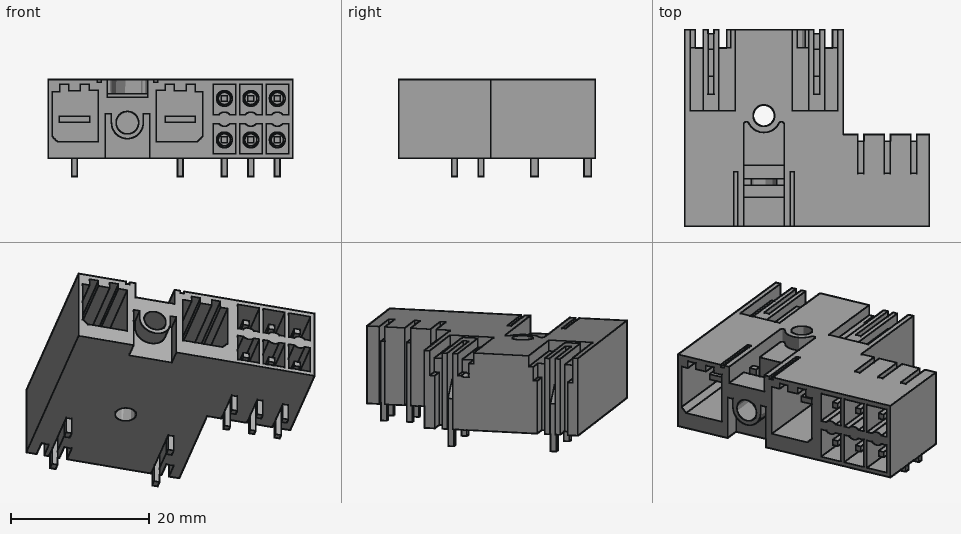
import cadquery as cq
import math

TOTAL_WIDTH = 35.25
MAIN_WIDTH = 22.85
MAIN_DEPTH = 28.3
WING_DEPTH = 13.22
HOUSING_HEIGHT = 11.4
LEG_BOTTOM_Z = -2.6
CENTER_X = MAIN_WIDTH / 2

SIGNAL_PITCH = 3.8
SIGNAL_COUNT = 3
POWER_PITCH = 4 * SIGNAL_PITCH
WIRE = 0.85
LEFT_POWER_X = CENTER_X - POWER_PITCH / 2
RIGHT_POWER_X = CENTER_X + POWER_PITCH / 2
FIRST_SIGNAL_X = 25.4
SIGNAL_X = [FIRST_SIGNAL_X + i * SIGNAL_PITCH for i in range(SIGNAL_COUNT)]

CAVITY_OUTER = 3.2
CAVITY_INNER = 3.45
CAVITY_DEPTH = 14.8
CAVITY_FLOOR_Z = 2.4
CAVITY_OUTER_TOP_Z = 9.6
CAVITY_MIDDLE_TOP_Z = 9.73
CAVITY_INNER_TOP_Z = 9.85
CAVITY_CHAMFER = 0.78
KEYWAY_NEAR = 0.85
KEYWAY_FAR = 2.15
KEYWAY_TOP_Z = 10.7

RECESS_FRONT_Y = 16.6
RECESS_FLOOR_Z = 9.8
RECESS_OUTER = 3.0
RECESS_INNER = 3.53
RIB_WIDTH = 2.3
RIB_HALF_WIDTH = RIB_WIDTH / 2
RIB_DROP = 0.25
NOTCH_FRONT_Y = 25.67
NOTCH_LEDGE_Z = 7.75
NOTCH_INNER = 2.82
NOTCH_THROUGH = 2.25
STEP_NEAR = 1.7
STEP_WIDTH = 0.55
STEP_RADIUS = 0.88

BLADE_TIP_Y = 6.35
BLADE_WIDTH = 4.37
BLADE_Z = 5.65
PLATE_FRONT_Y = 19.0
PLATE_STEP_Y = 21.58
PLATE_BEVEL_Y = 25.45
PLATE_BACK_Y = 27.75
PLATE_TOP_Z = 6.7
PLATE_BOTTOM_Z = 2.82
POWER_LEG_DEPTH = 1.1

CELL_WIDTH = 3.25
CELL_HEIGHT = 4.35
CELL_DEPTH = 6.35
ROW_PITCH = 5.95
LOWER_ROW_Z = 2.68
UPPER_ROW_Z = LOWER_ROW_Z + ROW_PITCH
CELL_OFFSET_Z = 0.15
BUMP_HALF_WIDTH = 0.78
BUMP_HEIGHT = 0.35
COLLAR_RADIUS = 1.13
COLLAR_TIP_RADIUS = 0.88
COLLAR_LENGTH = 1.75
SIGNAL_TIP_Y = 1.3
LOWER_LEG_Y = 8.05
UPPER_LEG_Y = LOWER_LEG_Y + SIGNAL_PITCH
SIGNAL_SLOT_Y = LOWER_LEG_Y - WIRE / 2

POCKET_WIDTH = 5.82
POCKET_TIP_RADIUS = 0.4
POCKET_FRONT_Z = 8.8
POCKET_BACK_Z = 9.35
SHAFT_Y = 15.95
SHAFT_RADIUS = 1.5
BOSS_RADIUS = 2.45
NUT_FRONT_Y = 4.2
NUT_BACK_Y = 8.78
NUT_FLOOR_Z = 2.82
YOKE_FRONT_Y = 5.92
YOKE_BACK_Y = 6.88
YOKE_SLOT_WIDTH = 3.65
SCREW_Z = 5.15
SCREW_RADIUS = 1.62
SLEEVE_RADIUS = 2.3
SLEEVE_RECESS_WIDTH = 6.38
SLEEVE_RECESS_TOP_Z = 6.45
SLEEVE_LENGTH = 2.47
GROOVE_NEAR = 3.77
GROOVE_FAR = 4.35
GROOVE_LENGTH = 7.85
GROOVE_DEPTH = 0.4


def block(x0, x1, y0, y1, z0, z1):
    """Box between two opposite corners."""
    return cq.Workplane("XY").box(x1 - x0, y1 - y0, z1 - z0, centered=False).translate((x0, y0, z0))


def centered_block(x, width, y0, y1, z0, z1):
    """Box that is symmetric about a given X."""
    return block(x - width / 2, x + width / 2, y0, y1, z0, z1)


def rod(x, z, radius, y0, y1):
    """Cylinder along Y."""
    return cq.Workplane("XZ", origin=(x, y0, z)).circle(radius).extrude(y0 - y1)


def for_both_contacts(cutter):
    """Place a cutter made for the left contact at x = 0, and its mirror image for the right contact."""
    left = cutter.translate((LEFT_POWER_X, 0, 0))
    right = cutter.mirror("YZ").translate((RIGHT_POWER_X, 0, 0))
    return left.add(right).combine()


def power_cavity():
    """Plug cavity with a stepped, keyed ceiling and one chamfered bottom edge."""
    outline = [
        (CAVITY_INNER, CAVITY_FLOOR_Z),
        (CAVITY_INNER, CAVITY_INNER_TOP_Z),
        (KEYWAY_FAR, CAVITY_INNER_TOP_Z),
        (KEYWAY_FAR, KEYWAY_TOP_Z),
        (KEYWAY_NEAR, KEYWAY_TOP_Z),
        (KEYWAY_NEAR, CAVITY_MIDDLE_TOP_Z),
        (-KEYWAY_NEAR, CAVITY_MIDDLE_TOP_Z),
        (-KEYWAY_NEAR, KEYWAY_TOP_Z),
        (-KEYWAY_FAR, KEYWAY_TOP_Z),
        (-KEYWAY_FAR, CAVITY_OUTER_TOP_Z),
        (-CAVITY_OUTER, CAVITY_OUTER_TOP_Z),
        (-CAVITY_OUTER, CAVITY_FLOOR_Z + CAVITY_CHAMFER),
        (-CAVITY_OUTER + CAVITY_CHAMFER, CAVITY_FLOOR_Z),
    ]
    return cq.Workplane("XZ").polyline(outline).close().extrude(-CAVITY_DEPTH)


def contact_openings():
    """Slit for the blade behind the cavity, and the tall slot for the plate and legs."""
    slit = centered_block(
        0, BLADE_WIDTH, CAVITY_DEPTH, PLATE_FRONT_Y, BLADE_Z - WIRE / 2, BLADE_Z + WIRE / 2
    )
    slot = centered_block(0, WIRE, PLATE_FRONT_Y, MAIN_DEPTH, 0, HOUSING_HEIGHT)
    return slit.union(slot)


def rear_recess():
    """Two lanes beside the rib, each with a deeper notch at the back edge."""
    outer_lane = block(
        -RECESS_OUTER, -RIB_HALF_WIDTH, RECESS_FRONT_Y, MAIN_DEPTH, RECESS_FLOOR_Z, HOUSING_HEIGHT
    )
    inner_lane = block(
        RIB_HALF_WIDTH, RECESS_INNER, RECESS_FRONT_Y, MAIN_DEPTH, RECESS_FLOOR_Z, HOUSING_HEIGHT
    )
    outer_notch = block(
        -RECESS_OUTER, -RIB_HALF_WIDTH, NOTCH_FRONT_Y, MAIN_DEPTH, NOTCH_LEDGE_Z, RECESS_FLOOR_Z
    )
    inner_notch = block(
        RIB_HALF_WIDTH, NOTCH_INNER, NOTCH_FRONT_Y, MAIN_DEPTH, NOTCH_LEDGE_Z, RECESS_FLOOR_Z
    )
    outer_through = block(
        -NOTCH_THROUGH, -RIB_HALF_WIDTH, NOTCH_FRONT_Y, MAIN_DEPTH, 0, NOTCH_LEDGE_Z
    )
    rib_top = centered_block(
        0, RIB_WIDTH, RECESS_FRONT_Y, MAIN_DEPTH, HOUSING_HEIGHT - RIB_DROP, HOUSING_HEIGHT
    )
    lanes = outer_lane.union(inner_lane).union(rib_top)
    return lanes.union(outer_notch).union(inner_notch).union(outer_through)


def left_inner_through_notch():
    """The inner notch is open to the bottom at the left contact only."""
    return block(
        LEFT_POWER_X + RIB_HALF_WIDTH,
        LEFT_POWER_X + NOTCH_THROUGH,
        NOTCH_FRONT_Y,
        MAIN_DEPTH,
        0,
        NOTCH_LEDGE_Z,
    )


def right_inner_step():
    """Raised strip beside the right rib that runs down to the notch ledge in a shallow concave round."""
    rib_x = RIGHT_POWER_X - RIB_HALF_WIDTH
    crest_x = RIGHT_POWER_X - STEP_NEAR
    foot_x = crest_x - STEP_WIDTH
    crest_z = NOTCH_LEDGE_Z + STEP_RADIUS - math.sqrt(STEP_RADIUS**2 - STEP_WIDTH**2)
    strip = block(foot_x, rib_x, NOTCH_FRONT_Y, MAIN_DEPTH, NOTCH_LEDGE_Z, crest_z)
    return strip.cut(
        rod(foot_x, NOTCH_LEDGE_Z + STEP_RADIUS, STEP_RADIUS, NOTCH_FRONT_Y, MAIN_DEPTH)
    )


def signal_cell(x, row_z, inward):
    """Plug cell with a rounded rib on its middle wall and a tapered collar round the pin.

    `inward` is +1 where the middle wall is above the cell and -1 where it is below.
    """
    center_z = row_z + inward * CELL_OFFSET_Z
    wall_z = center_z + inward * CELL_HEIGHT / 2
    cell = centered_block(
        x, CELL_WIDTH, 0, CELL_DEPTH, center_z - CELL_HEIGHT / 2, center_z + CELL_HEIGHT / 2
    )
    rib = (
        cq.Workplane("XZ")
        .moveTo(x - BUMP_HALF_WIDTH, wall_z)
        .threePointArc((x, wall_z - inward * BUMP_HEIGHT), (x + BUMP_HALF_WIDTH, wall_z))
        .close()
        .extrude(-CELL_DEPTH)
    )
    collar = (
        rod(x, row_z, COLLAR_RADIUS, CELL_DEPTH - COLLAR_LENGTH, CELL_DEPTH)
        .faces("<Y")
        .chamfer(COLLAR_RADIUS - COLLAR_TIP_RADIUS)
    )
    pin_hole = centered_block(
        x, WIRE, CELL_DEPTH - COLLAR_LENGTH, SIGNAL_SLOT_Y, row_z - WIRE / 2, row_z + WIRE / 2
    )
    return cell.cut(rib).cut(collar).union(pin_hole)


def signal_slot(x):
    """Rear slot that takes the legs of one column of signal pins."""
    return centered_block(x, WIRE, SIGNAL_SLOT_Y, WING_DEPTH, 0, HOUSING_HEIGHT)


def screw_pocket():
    """Stepped open-top pocket that curves round the screwdriver shaft."""
    front = centered_block(CENTER_X, POCKET_WIDTH, 0, NUT_FRONT_Y, POCKET_FRONT_Z, HOUSING_HEIGHT)
    half_width = POCKET_WIDTH / 2
    tip_x = half_width - POCKET_TIP_RADIUS
    tip_y = -math.sqrt((BOSS_RADIUS + POCKET_TIP_RADIUS) ** 2 - tip_x**2)
    touch_ratio = BOSS_RADIUS / (BOSS_RADIUS + POCKET_TIP_RADIUS)
    touch_x = tip_x * touch_ratio
    touch_y = tip_y * touch_ratio
    front_y = NUT_BACK_Y - SHAFT_Y
    back = (
        cq.Workplane("XY", origin=(CENTER_X, SHAFT_Y, POCKET_BACK_Z))
        .moveTo(-half_width, front_y)
        .lineTo(-half_width, tip_y)
        .threePointArc((-tip_x, tip_y + POCKET_TIP_RADIUS), (-touch_x, touch_y))
        .threePointArc((0, -BOSS_RADIUS), (touch_x, touch_y))
        .threePointArc((tip_x, tip_y + POCKET_TIP_RADIUS), (half_width, tip_y))
        .lineTo(half_width, front_y)
        .close()
        .extrude(HOUSING_HEIGHT - POCKET_BACK_Z)
    )
    return front.union(back).union(nut_chamber())


def nut_chamber():
    """Deep part of the pocket, crossed by a yoke with a round-bottomed slot."""
    chamber = centered_block(
        CENTER_X, POCKET_WIDTH, NUT_FRONT_Y, NUT_BACK_Y, NUT_FLOOR_Z, HOUSING_HEIGHT
    )
    yoke = centered_block(
        CENTER_X, POCKET_WIDTH, YOKE_FRONT_Y, YOKE_BACK_Y, NUT_FLOOR_Z, POCKET_FRONT_Z
    )
    slot_round = rod(CENTER_X, SCREW_Z, YOKE_SLOT_WIDTH / 2, YOKE_FRONT_Y, YOKE_BACK_Y)
    slot_sides = centered_block(
        CENTER_X, YOKE_SLOT_WIDTH, YOKE_FRONT_Y, YOKE_BACK_Y, SCREW_Z, POCKET_FRONT_Z
    )
    return chamber.cut(yoke.cut(slot_round).cut(slot_sides))


def sleeve_recess():
    """Front recess, open at the bottom, that leaves a round sleeve for the screw."""
    recess = centered_block(
        CENTER_X, SLEEVE_RECESS_WIDTH, 0, SLEEVE_LENGTH, 0, SLEEVE_RECESS_TOP_Z
    )
    sleeve = rod(CENTER_X, SCREW_Z, SLEEVE_RADIUS, 0, SLEEVE_LENGTH)
    neck = centered_block(
        CENTER_X, 2 * SLEEVE_RADIUS, 0, SLEEVE_LENGTH, SCREW_Z, SLEEVE_RECESS_TOP_Z
    )
    return recess.cut(sleeve).cut(neck)


def top_groove(side):
    """Shallow groove beside the screw pocket."""
    middle_x = CENTER_X + side * (GROOVE_NEAR + GROOVE_FAR) / 2
    return centered_block(
        middle_x, GROOVE_FAR - GROOVE_NEAR, 0, GROOVE_LENGTH, HOUSING_HEIGHT - GROOVE_DEPTH, HOUSING_HEIGHT
    )


def make_housing():
    housing = block(0, MAIN_WIDTH, 0, MAIN_DEPTH, 0, HOUSING_HEIGHT)
    housing = housing.union(block(MAIN_WIDTH, TOTAL_WIDTH, 0, WING_DEPTH, 0, HOUSING_HEIGHT))

    for cutter in (power_cavity(), contact_openings(), rear_recess()):
        housing = housing.cut(for_both_contacts(cutter))
    housing = housing.cut(left_inner_through_notch()).union(right_inner_step())

    for x in SIGNAL_X:
        housing = housing.cut(signal_cell(x, LOWER_ROW_Z, 1))
        housing = housing.cut(signal_cell(x, UPPER_ROW_Z, -1))
        housing = housing.cut(signal_slot(x))

    housing = housing.cut(screw_pocket()).cut(sleeve_recess())
    housing = housing.cut(rod(CENTER_X, SCREW_Z, SCREW_RADIUS, 0, NUT_FRONT_Y))
    shaft = cq.Workplane("XY").center(CENTER_X, SHAFT_Y).circle(SHAFT_RADIUS).extrude(HOUSING_HEIGHT)
    housing = housing.cut(shaft)
    for side in (-1, 1):
        housing = housing.cut(top_groove(side))
    return housing


def make_power_contact(x):
    """Flat blade that joins an upright plate with two solder legs."""
    blade = centered_block(
        x, BLADE_WIDTH, BLADE_TIP_Y, PLATE_FRONT_Y, BLADE_Z - WIRE / 2, BLADE_Z + WIRE / 2
    )
    bevel = PLATE_BACK_Y - PLATE_BEVEL_Y
    outline = [
        (PLATE_FRONT_Y, LEG_BOTTOM_Z),
        (PLATE_FRONT_Y, BLADE_Z + WIRE / 2),
        (PLATE_STEP_Y, BLADE_Z + WIRE / 2),
        (PLATE_STEP_Y, PLATE_TOP_Z),
        (PLATE_BEVEL_Y, PLATE_TOP_Z),
        (PLATE_BACK_Y, PLATE_TOP_Z - bevel),
        (PLATE_BACK_Y, LEG_BOTTOM_Z),
        (PLATE_BACK_Y - POWER_LEG_DEPTH, LEG_BOTTOM_Z),
        (PLATE_BACK_Y - POWER_LEG_DEPTH, PLATE_BOTTOM_Z),
        (PLATE_FRONT_Y + POWER_LEG_DEPTH, PLATE_BOTTOM_Z),
        (PLATE_FRONT_Y + POWER_LEG_DEPTH, LEG_BOTTOM_Z),
    ]
    plate = (
        cq.Workplane("YZ", origin=(x, 0, 0)).polyline(outline).close().extrude(WIRE / 2, both=True)
    )
    return blade.union(plate)


def make_signal_pin(x, row_z, leg_y):
    """Square wire that runs back from the cell and bends down into a solder leg."""
    back_y = leg_y + WIRE / 2
    top_z = row_z + WIRE / 2
    wire = centered_block(x, WIRE, SIGNAL_TIP_Y, back_y, row_z - WIRE / 2, top_z)
    leg = centered_block(x, WIRE, back_y - WIRE, back_y, LEG_BOTTOM_Z, top_z)
    return wire.union(leg)


housing = make_housing()
power_contacts = [make_power_contact(x) for x in (LEFT_POWER_X, RIGHT_POWER_X)]
signal_pins = []
for pin_x in SIGNAL_X:
    signal_pins.append(make_signal_pin(pin_x, LOWER_ROW_Z, LOWER_LEG_Y))
    signal_pins.append(make_signal_pin(pin_x, UPPER_ROW_Z, UPPER_LEG_Y))

bodies = [housing, *power_contacts, *signal_pins]
result = cq.Compound.makeCompound([body.solids().val() for body in bodies])